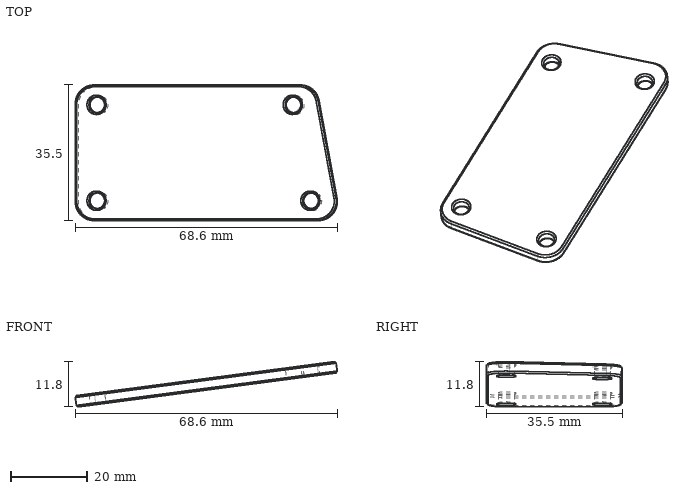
import cadquery as cq
import math

overall_length = 68.6
width = 35.55
thickness = 3.0
corner_radius = 5.1
edge_chamfer = 0.5
slant_angle = 10.5
tilt_angle = 7.5

hole_diameter = 4.1
hole_chamfer = 0.5
hole_inset_x = 5.7
hole_inset_y = 5.2
lower_right_hole_x = 62.2
upper_right_hole_x = 57.5

tilt = math.radians(tilt_angle)
flat_band = thickness - 2 * edge_chamfer
length = (overall_length - flat_band * math.sin(tilt)) / math.cos(tilt)

slant = math.radians(slant_angle)
lower_right_x = length - corner_radius + corner_radius * (1 / math.cos(slant) + math.tan(slant))
upper_right_x = lower_right_x - width * math.tan(slant)


def make_plate():
    """Flat plate with rounded corners and chamfered upper and lower rims."""
    outline = [(0, 0), (lower_right_x, 0), (upper_right_x, width), (0, width)]
    plate = cq.Workplane("XY").polyline(outline).close().extrude(thickness)
    plate = plate.edges("|Z").fillet(corner_radius)
    return plate.faces("<Z or >Z").edges().chamfer(edge_chamfer)


def drill_holes(plate):
    """Four through holes, chamfered at both faces."""
    upper_hole_y = width - hole_inset_y
    centres = [
        (hole_inset_x, hole_inset_y),
        (lower_right_hole_x, hole_inset_y),
        (hole_inset_x, upper_hole_y),
        (upper_right_hole_x, upper_hole_y),
    ]
    hole = cq.Workplane("XY").circle(hole_diameter / 2).extrude(thickness)
    flare_radius = hole_diameter / 2 + hole_chamfer
    flare = cq.Solid.makeCone(flare_radius, hole_diameter / 2, hole_chamfer)
    lower_flare = cq.Workplane(obj=flare)
    upper_flare = lower_flare.mirror("XY").translate((0, 0, thickness))
    cutter = hole.union(lower_flare).union(upper_flare)
    for x, y in centres:
        plate = plate.cut(cutter.translate((x, y, 0)))
    return plate


result = drill_holes(make_plate()).rotate((0, 0, 0), (0, 1, 0), -tilt_angle)